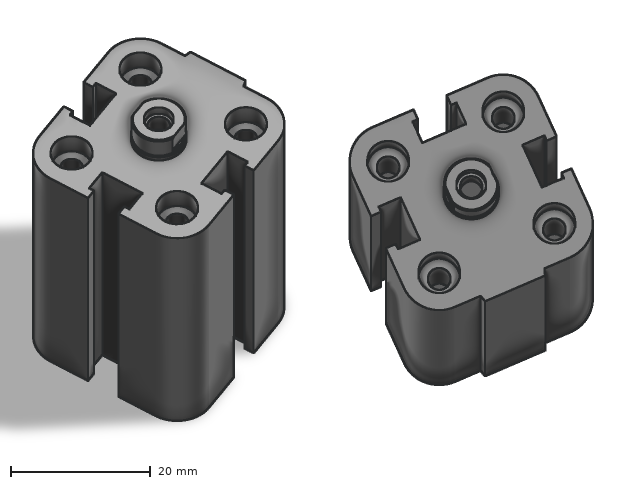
import cadquery as cq

TOTAL_HEIGHT = 47.5
BODY_WIDTH = 29.0
SECTION_DEPTH = 30.0
HOUSING_HEIGHT = 43.0
HALF_WIDTH = BODY_WIDTH / 2
RIB_HEIGHT = SECTION_DEPTH - BODY_WIDTH

SCREW_SPACING = 18.0
CORNER_RADIUS = HALF_WIDTH - SCREW_SPACING / 2
SCREW_HEAD_DIAMETER = 6.0
SCREW_HEAD_DEPTH = 3.5
THREAD_DIAMETER = 3.25
SCREW_HOLE_DEPTH = 12.5

RIB_BASE_WIDTH = 9.98
RIB_TOP_WIDTH = 9.4

SLOT_OPENING = 5.2
SLOT_INNER_WIDTH = 6.85
SLOT_DEPTH = 5.0
SLOT_LIP = 1.55

ROD_DIAMETER = 7.8
COLLAR_DIAMETER = 8.0
COLLAR_HEIGHT = 1.0
COLLAR_TAPER_HEIGHT = 0.25
ROD_CHAMFER = 0.2
FLAT_SPACING = 7.0
FLAT_HEIGHT = 3.0
ROD_HEIGHT = TOTAL_HEIGHT - HOUSING_HEIGHT
ROD_RECESS_DIAMETER = 4.28
ROD_RECESS_DEPTH = 1.5


def make_profile_block():
    """Square extrusion with rounded vertical corners."""
    return (
        cq.Workplane("XY")
        .rect(BODY_WIDTH, BODY_WIDTH)
        .extrude(HOUSING_HEIGHT)
        .edges("|Z")
        .fillet(CORNER_RADIUS)
    )


def make_rib():
    """Low trapezoidal rib running the full height of the +Y side."""
    rib_top = HALF_WIDTH + RIB_HEIGHT
    return (
        cq.Workplane("XY")
        .moveTo(-RIB_BASE_WIDTH / 2, 0)
        .lineTo(-RIB_BASE_WIDTH / 2, HALF_WIDTH)
        .lineTo(-RIB_TOP_WIDTH / 2, rib_top)
        .lineTo(RIB_TOP_WIDTH / 2, rib_top)
        .lineTo(RIB_BASE_WIDTH / 2, HALF_WIDTH)
        .lineTo(RIB_BASE_WIDTH / 2, 0)
        .close()
        .extrude(HOUSING_HEIGHT)
    )


def make_slot(angle):
    """T-slot cutter for the -Y side, turned about Z by the given angle."""
    opening = (
        cq.Workplane("XY")
        .center(0, -HALF_WIDTH + SLOT_DEPTH / 2)
        .rect(SLOT_OPENING, SLOT_DEPTH)
        .extrude(HOUSING_HEIGHT)
    )
    channel_depth = SLOT_DEPTH - SLOT_LIP
    channel = (
        cq.Workplane("XY")
        .center(0, -HALF_WIDTH + SLOT_LIP + channel_depth / 2)
        .rect(SLOT_INNER_WIDTH, channel_depth)
        .extrude(HOUSING_HEIGHT)
    )
    return opening.union(channel).rotate((0, 0, 0), (0, 0, 1), angle)


def make_housing():
    housing = make_profile_block().union(make_rib())
    for angle in (-90, 0, 90):
        housing = housing.cut(make_slot(angle))
    return (
        housing.faces(">Z")
        .workplane(origin=(0, 0, HOUSING_HEIGHT))
        .rect(SCREW_SPACING, SCREW_SPACING, forConstruction=True)
        .vertices()
        .cboreHole(THREAD_DIAMETER, SCREW_HEAD_DIAMETER, SCREW_HEAD_DEPTH, SCREW_HOLE_DEPTH)
    )


def make_shank():
    """Round rod end with a chamfered top edge."""
    return (
        cq.Workplane("XY")
        .circle(ROD_DIAMETER / 2)
        .extrude(ROD_HEIGHT)
        .faces(">Z")
        .chamfer(ROD_CHAMFER)
    )


def make_collar():
    """Slightly wider foot of the rod, tapering up to the rod diameter."""
    return (
        cq.Workplane("XZ")
        .lineTo(COLLAR_DIAMETER / 2, 0)
        .lineTo(COLLAR_DIAMETER / 2, COLLAR_HEIGHT - COLLAR_TAPER_HEIGHT)
        .lineTo(ROD_DIAMETER / 2, COLLAR_HEIGHT)
        .lineTo(0, COLLAR_HEIGHT)
        .close()
        .revolve(360, (0, 0, 0), (0, 1, 0))
    )


def make_flat(side):
    """Cutter for one wrench flat; side is -1 for -X and +1 for +X."""
    cutter_width = ROD_DIAMETER - FLAT_SPACING
    return (
        cq.Workplane("XY")
        .workplane(offset=ROD_HEIGHT - FLAT_HEIGHT)
        .center(side * (FLAT_SPACING + cutter_width) / 2, 0)
        .rect(cutter_width, ROD_DIAMETER)
        .extrude(FLAT_HEIGHT)
    )


def make_rod():
    """Rod end standing on the housing: collar, two wrench flats and a recessed threaded hole."""
    rod = make_shank().union(make_collar())
    for side in (-1, 1):
        rod = rod.cut(make_flat(side))
    rod = (
        rod.faces(">Z")
        .workplane(origin=(0, 0, ROD_HEIGHT))
        .cboreHole(THREAD_DIAMETER, ROD_RECESS_DIAMETER, ROD_RECESS_DEPTH)
    )
    return rod.translate((0, 0, HOUSING_HEIGHT))


housing = make_housing()
rod = make_rod()

result = cq.Compound.makeCompound([housing.val(), rod.val()])